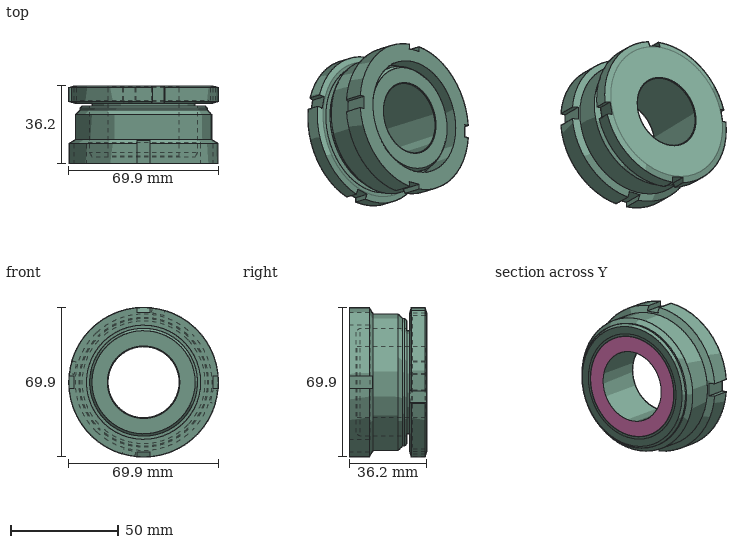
import cadquery as cq


flange_radius = 34.9
flange_rim_length = 9.35
flange_end = 11.2
barrel_radius = 31.9
barrel_end = 22.8
nose_radius = 29.8
nose_start = barrel_end + (barrel_radius - nose_radius)
nose_chamfer_start = 25.8
sleeve_length = 26.9
nose_chamfer = sleeve_length - nose_chamfer_start
recess_radius = 26.6
recess_depth = 9.8
thread_radius = 25.15

screw_tip = 3.15
tip_chamfer_height = 1.1
tip_chamfer_length = 1.95
neck_radius = thread_radius - tip_chamfer_height
collar_radius = 34.95
collar_start = 28.1
collar_end = 36.2
collar_chamfer_length = 0.85
collar_chamfer_height = 2.9
collar_recess_radius = 30.25
collar_recess_depth = 1.4
bore_radius = 16.55
bore_chamfer = 0.35

slot_count = 4
slot_width = 5.95
slot_floor_radius = 32.4
collar_slot_angle = 11.6


def revolve_about_y(points):
    """Turn a closed (radius, y) outline about the Y axis."""
    return cq.Workplane("XY").polyline(points).close().revolve(360, (0, 0, 0), (0, 1, 0))


def cut_spanner_slots(body, start, end, first_angle):
    """Cut evenly spaced rim slots; the angle turns from +Z towards +X."""
    slot_height = collar_radius
    slot = cq.Workplane("XY").box(
        slot_width, end - start, slot_height, centered=(True, False, False)
    ).translate((0, start, slot_floor_radius))
    for index in range(slot_count):
        angle = first_angle + index * 360 / slot_count
        body = body.cut(slot.rotate((0, 0, 0), (0, 1, 0), angle))
    return body


def make_sleeve():
    """Flanged outer sleeve with a recessed, stepped bore."""
    body = revolve_about_y([
        (recess_radius, 0),
        (flange_radius, 0),
        (flange_radius, flange_rim_length),
        (barrel_radius, flange_end),
        (barrel_radius, barrel_end),
        (nose_radius, nose_start),
        (nose_radius, nose_chamfer_start),
        (nose_radius - nose_chamfer, sleeve_length),
        (thread_radius, sleeve_length),
        (thread_radius, recess_depth),
        (recess_radius, recess_depth),
    ])
    return cut_spanner_slots(body, 0, flange_end, 0)


def make_screw():
    """Hollow screw filling the sleeve bore, with a neck and a slotted, recessed collar."""
    collar_face_radius = collar_radius - collar_chamfer_height
    body = revolve_about_y([
        (bore_radius + bore_chamfer, screw_tip),
        (neck_radius, screw_tip),
        (thread_radius, screw_tip + tip_chamfer_length),
        (thread_radius, sleeve_length),
        (neck_radius, sleeve_length),
        (neck_radius, collar_start + collar_recess_depth),
        (collar_recess_radius, collar_start + collar_recess_depth),
        (collar_recess_radius, collar_start),
        (collar_face_radius, collar_start),
        (collar_radius, collar_start + collar_chamfer_length),
        (collar_radius, collar_end - collar_chamfer_length),
        (collar_face_radius, collar_end),
        (bore_radius + bore_chamfer, collar_end),
        (bore_radius, collar_end - bore_chamfer),
        (bore_radius, screw_tip + bore_chamfer),
    ])
    return cut_spanner_slots(body, collar_start, collar_end, collar_slot_angle)


sleeve = make_sleeve()
screw = make_screw()

result = cq.Compound.makeCompound([sleeve.val(), screw.val()])